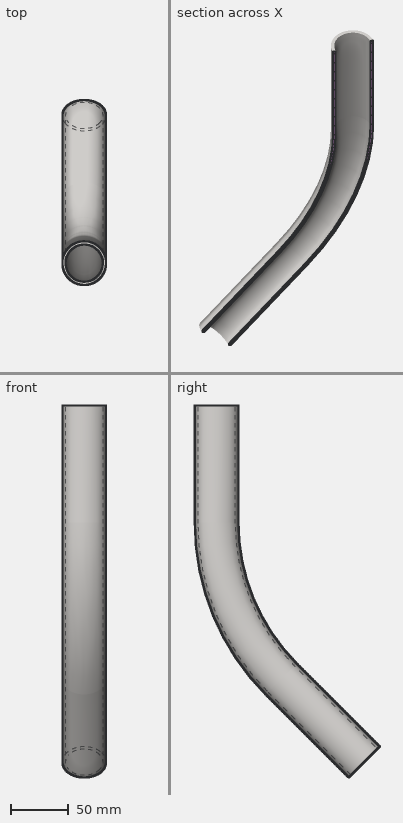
import cadquery as cq
import math

overall_height = 321.5
outer_diameter = 38.0
inner_diameter = 32.2
leg_length = 101.3
bend_angle = math.radians(45)

outer_radius = outer_diameter / 2
bend_radius = (
    (overall_height - leg_length) / math.sin(bend_angle) - leg_length - outer_radius
)


def bend_point(angle):
    """Centreline point (Y, Z) at an angle along the bend, which starts at the origin."""
    return (bend_radius * (1 - math.cos(angle)), -bend_radius * math.sin(angle))


bend_end = bend_point(bend_angle)
lower_end = (
    bend_end[0] + leg_length * math.sin(bend_angle),
    bend_end[1] - leg_length * math.cos(bend_angle),
)
centreline = (
    cq.Workplane("YZ")
    .moveTo(0, leg_length)
    .lineTo(0, 0)
    .threePointArc(bend_point(bend_angle / 2), bend_end)
    .lineTo(*lower_end)
)

result = (
    cq.Workplane("XY", origin=(0, 0, leg_length))
    .circle(outer_radius)
    .circle(inner_diameter / 2)
    .sweep(centreline)
)